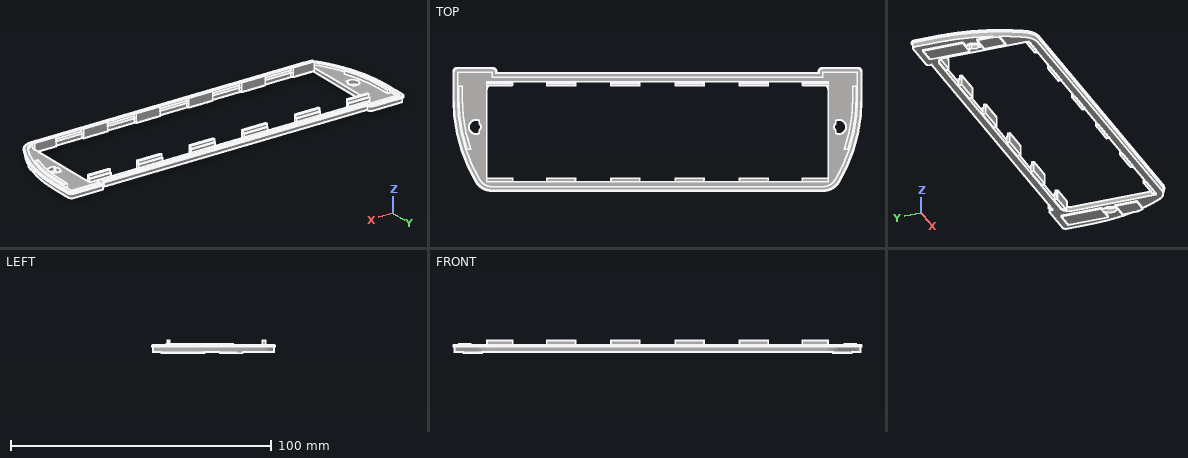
import cadquery as cq
import math

length = 157.0
width = 47.5
height = 5.0
half_length = length / 2
half_width = width / 2

body_bottom = 0.5
tab_bottom = 1.0
floor_top = 2.4
lip_bottom = 2.5
rim_top = 3.3
rib_top = 3.8
ledge_top = 3.8

ear_length = 16.8
ear_step = 1.9
ear_radius = 1.7
side_arc_radius = 62.8
side_arc_start = 11.8
front_corner_radius = 7.2

rim_width = 1.7
lip_overhang = 0.5
lip_chamfer = 0.3

window_length = 131.2
window_back = 18.2
window_front = -20.1
window_corner_radius = 3.5

tab_thickness = 1.4
tab_length = 11.2
tab_pitch = 24.7
end_tab_length = 10.0
end_tab_chamfer = 0.5
middle_tab_count = 4
ledge_depth = 0.5

rib_gap = 0.5
rib_width = 1.34
rib_back = 16.6
rib_front = -7.5

hole_x = 69.7
hole_y = 1.0
hole_radius = 2.7
hole_flat = 1.3
relief_radius = 1.5
relief_shift = 0.3

pad_inner_x = 67.4
pad_outer_x = 74.6
pad_spans = ((3.5, 20.1), (-11.3, -2.4))


def mirrored(point):
    """The point reflected to the -X side."""
    return (-point[0], point[1])


def on_circle(center, radius, angle):
    """The point of a circle at an angle from +X."""
    return (center[0] + radius * math.cos(angle), center[1] + radius * math.sin(angle))


def block(x_min, x_max, y_min, y_max, z_min, z_max):
    """Box between the given limits."""
    box = cq.Workplane("XY").box(x_max - x_min, y_max - y_min, z_max - z_min, centered=False)
    return box.translate((x_min, y_min, z_min))


def slab(inset, bottom, top):
    """Frame outline moved inward by `inset`, filled between two levels, with sharp ears."""
    side = half_length - inset
    back = half_width - inset
    front = inset - half_width
    rail_back = back - ear_step
    ear_inner = half_length - ear_length + inset

    side_radius = side_arc_radius - inset
    corner_radius = front_corner_radius - inset
    side_center = (half_length - side_arc_radius, side_arc_start)
    corner_y = front + corner_radius
    drop = side_arc_start - corner_y
    corner_x = side_center[0] + math.sqrt((side_radius - corner_radius) ** 2 - drop**2)
    corner_center = (corner_x, corner_y)
    meeting_angle = -math.atan2(drop, corner_x - side_center[0])

    side_middle = on_circle(side_center, side_radius, meeting_angle / 2)
    side_end = on_circle(side_center, side_radius, meeting_angle)
    corner_middle = on_circle(corner_center, corner_radius, (meeting_angle - math.pi / 2) / 2)

    plan = (
        cq.Workplane("XY", origin=(0, 0, bottom))
        .moveTo(-ear_inner, rail_back)
        .lineTo(ear_inner, rail_back)
        .lineTo(ear_inner, back)
        .lineTo(side, back)
        .lineTo(side, side_arc_start)
        .threePointArc(side_middle, side_end)
        .threePointArc(corner_middle, (corner_x, front))
        .lineTo(-corner_x, front)
        .threePointArc(mirrored(corner_middle), mirrored(side_end))
        .threePointArc(mirrored(side_middle), (-side, side_arc_start))
        .lineTo(-side, back)
        .lineTo(-ear_inner, back)
        .close()
    )
    return plan.extrude(top - bottom)


def round_ears(solid, radius):
    """Round the upright edges at the back of both ears."""
    return solid.edges("|Z and >Y").fillet(radius)


def make_tray():
    """Body with overhanging lip, hollowed down to the floor inside the rim."""
    body = round_ears(slab(lip_overhang, body_bottom, rim_top), ear_radius - lip_overhang)
    lip = round_ears(slab(0, lip_bottom, rim_top), ear_radius).faces(">Z").chamfer(lip_chamfer)
    return body.union(lip).cut(slab(rim_width, floor_top, rim_top))


def make_ribs():
    """Arc ribs that follow the curved sides just inside the rim."""
    outer = rim_width + rib_gap
    band = slab(outer, floor_top, rib_top).cut(slab(outer + rib_width, floor_top, rib_top))
    return band.intersect(block(-half_length, half_length, rib_front, rib_back, floor_top, rib_top))


def make_pads():
    """Pads under both ears, trimmed to the body outline."""
    pads = cq.Workplane("XY")
    for y_min, y_max in pad_spans:
        pads = pads.add(block(pad_inner_x, pad_outer_x, y_min, y_max, 0, body_bottom))
        pads = pads.add(block(-pad_outer_x, -pad_inner_x, y_min, y_max, 0, body_bottom))
    return pads.combine().intersect(slab(lip_overhang, 0, body_bottom))


def make_window():
    """Through cutter for the window, with rounded back corners."""
    half = window_length / 2
    window = block(-half, half, window_front, window_back, 0, height)
    return window.edges("|Z and >Y").fillet(window_corner_radius)


def make_hole():
    """Through cutter for the screw hole on the -X side, centred on the origin."""
    flat_side = block(hole_flat, 2 * hole_radius, -hole_radius, hole_radius, 0, height)
    relief = cq.Workplane("XY").center(relief_shift, 0).circle(relief_radius).extrude(height)
    return cq.Workplane("XY").circle(hole_radius).extrude(height).cut(flat_side).union(relief)


def make_front_tab(x_min, x_max):
    """Plain tab on the front edge of the window."""
    return block(x_min, x_max, window_front, window_front + tab_thickness, tab_bottom, height)


def make_back_tab(x_min, x_max):
    """Tab on the back edge of the window, with the ledge behind it."""
    ledge_front = window_back - ledge_depth
    tab = block(x_min, x_max, window_back - tab_thickness, ledge_front, tab_bottom, height)
    return tab.union(block(x_min, x_max, ledge_front, window_back, tab_bottom, ledge_top))


def make_end_tabs():
    """Tabs in the window corner on the +X side; the free corner of the back one is cut off."""
    x_max = window_length / 2
    x_min = x_max - end_tab_length
    back_tab = make_back_tab(x_min, x_max).edges("|Z and <X and <Y").chamfer(end_tab_chamfer)
    return make_front_tab(x_min, x_max).union(back_tab)


result = make_tray().union(make_ribs()).union(make_pads()).cut(make_window())

hole = make_hole().translate((-hole_x, hole_y, 0))
result = result.cut(hole).cut(hole.mirror("YZ"))

end_tabs = make_end_tabs()
result = result.union(end_tabs).union(end_tabs.mirror("YZ"))
for index in range(middle_tab_count):
    tab_center = (index - (middle_tab_count - 1) / 2) * tab_pitch
    tab_ends = (tab_center - tab_length / 2, tab_center + tab_length / 2)
    result = result.union(make_front_tab(*tab_ends)).union(make_back_tab(*tab_ends))